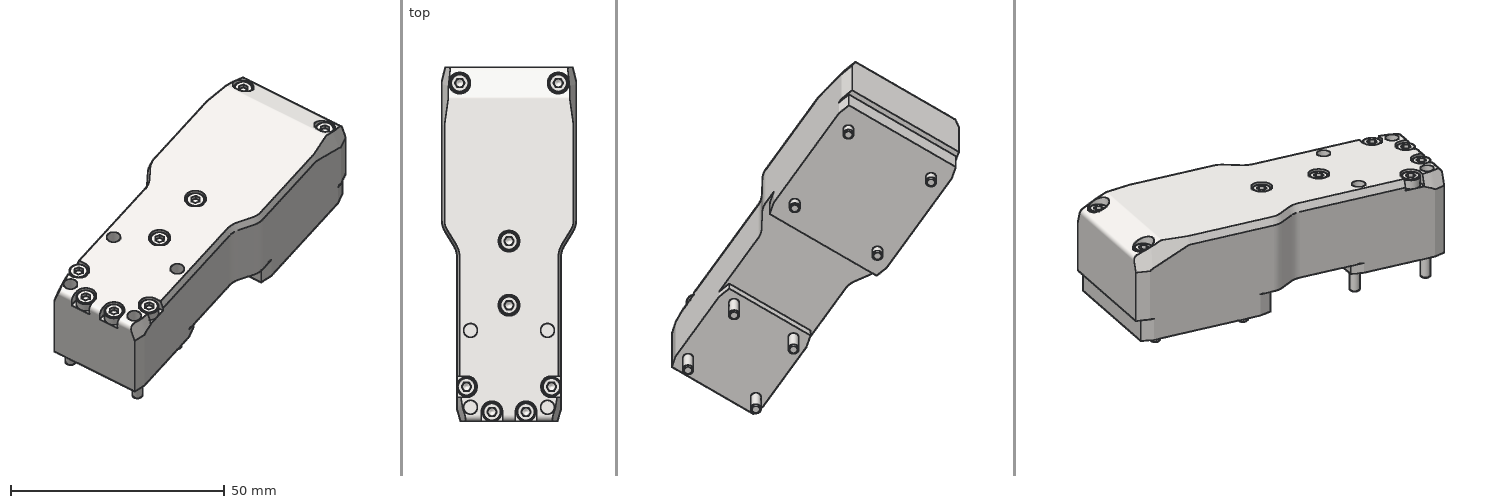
import cadquery as cq
import math


length = 83.0
top_z = 19.25
rear_half_width = 15.8
front_half_width = 12.2
waist_rear_y = 45.7
waist_front_y = 39.8
waist_radius = 5.0
front_edge_radius = 1.5

slope_start_y = 75.95
slope_angle = 23.0
slope_rise = math.tan(math.radians(slope_angle))
rear_edge_radius = 1.4
roof_blend_radius = 1.5

lean = 1 / 3
band_height = 2.0
rear_dip_y = 69.4
front_dip_y = 7.9
front_dip_rise = 0.41

corner_width = 0.8
rear_corner_length = 3.3
front_corner_length = 2.8
rear_corner_taper_height = 6.55
front_corner_taper_height = 4.2
front_blend_radius = 6.6
front_blend_edge_center = (11.5, 3.4, 17.3)

rear_foot_start_y = 47.6
rear_foot_end_y = 81.7
rear_foot_height = 5.6
front_foot_end_y = 24.65
front_foot_height = 2.6
foot_corner_length = 3.1

screw_diameter = 2.5
screw_tip_chamfer = 0.3
long_screw_length = 6.15
short_screw_length = 2.6
long_screws = [(9.5, 4.0), (8.3, 22.0)]
short_screws = [(11.5, 53.1), (11.5, 76.2)]
dowel_hole_diameter = 3.2
dowel_hole_depth = 5.0
dowel_spacing = 18.0
dowel_front_y = 3.3

head_diameter = 4.5
head_height = 2.5
head_edge_chamfer = 0.25
socket_corner_diameter = 2.3
socket_depth = 1.0
socket_cone_depth = 0.6
counterbore_diameter = 5.0
head_recess = 0.3
front_head_x = 4.0
side_head_y = 8.1
middle_head_ys = (27.2, 42.25)
rear_head_x = 11.5
rear_head_y = 79.3
rear_head_drop = 2.2

margin = 4.15


def mirrored(points):
    """Each point together with its reflection in the symmetry plane."""
    return [(side * x, y) for x, y in points for side in (1, -1)]


def housing_sleeve():
    """Waisted plan shape with a leaning top band; both ends run past the body."""
    right_side = [
        (front_half_width, -margin),
        (front_half_width, waist_front_y),
        (rear_half_width, waist_rear_y),
        (rear_half_width, length + margin),
    ]
    left_side = [(-x, y) for x, y in reversed(right_side)]
    straight_height = top_z - band_height
    waist_edges = cq.selectors.BoxSelector(
        (-rear_half_width - margin, waist_front_y - margin, 0),
        (rear_half_width + margin, waist_rear_y + margin, top_z),
    )
    walls = cq.Workplane("XY").polyline(right_side + left_side).close().extrude(straight_height)
    walls = walls.edges("|Z").edges(waist_edges).fillet(waist_radius)
    band = walls.faces(">Z").wires().toPending().workplane()
    band = band.extrude(band_height, taper=math.degrees(math.atan(lean)), combine=False)
    return walls.union(band)


def side_profile():
    """Lengthwise profile with the rear slope and rounded roof edges."""
    rear_edge_z = top_z - slope_rise * (length - slope_start_y)
    outline = [(0, 0), (length, 0), (length, rear_edge_z), (slope_start_y, top_z), (0, top_z)]
    profile = cq.Workplane("YZ").polyline(outline).close().extrude(rear_half_width, both=True)
    profile = profile.edges(cq.selectors.NearestToPointSelector((0, 0, top_z))).fillet(front_edge_radius)
    rear_edge = cq.selectors.NearestToPointSelector((0, length, rear_edge_z))
    profile = profile.edges(rear_edge).fillet(rear_edge_radius)
    roof_edge = cq.selectors.NearestToPointSelector((0, slope_start_y, top_z))
    return profile.edges(roof_edge).fillet(roof_blend_radius)


def taper_wedge(start, end, outward):
    """Tool above the line start-end that makes a wall lean inward from that line."""
    rise = top_z + margin - start[2]
    x, y, z = start
    triangle = [
        (x, y, z),
        (x - outward[0] * rise * lean, y - outward[1] * rise * lean, z + rise),
        (x + outward[0] * margin, y + outward[1] * margin, z + rise),
        (x + outward[0] * margin, y + outward[1] * margin, z),
    ]
    section = cq.Wire.makePolygon([cq.Vector(*point) for point in triangle], close=True)
    path = cq.Vector(*end) - cq.Vector(*start)
    return cq.Workplane(cq.Solid.extrudeLinear(section, [], path))


def side_dip_wedge(half_width, dip_y, end_y, rise):
    """Widens the leaning band toward one end, following a line that falls at the given rise."""
    band_z = top_z - band_height
    end_z = band_z - rise * abs(end_y - dip_y)
    return taper_wedge((half_width, dip_y, band_z), (half_width, end_y, end_z), (1, 0))


def corner_cut(half_width, end_y, inward, corner_length, taper_height):
    """Vertical corner chamfer plus the leaning face above it."""
    wall_point = (half_width, end_y + inward * corner_length)
    end_point = (half_width - corner_width, end_y)
    direction = cq.Vector(wall_point[0] - end_point[0], wall_point[1] - end_point[1], 0).normalized()
    outward = (abs(direction.y), -inward * abs(direction.x))
    line_start = (wall_point[0] + direction.x * margin, wall_point[1] + direction.y * margin)
    line_end = (end_point[0] - direction.x * margin, end_point[1] - direction.y * margin)
    strip = [
        line_start,
        line_end,
        (line_end[0] + outward[0] * margin, line_end[1] + outward[1] * margin),
        (line_start[0] + outward[0] * margin, line_start[1] + outward[1] * margin),
    ]
    taper_z = top_z - taper_height
    chamfer = cq.Workplane("XY").workplane(offset=-top_z).polyline(strip).close().extrude(2 * top_z + margin)
    return chamfer.union(taper_wedge((*line_start, taper_z), (*line_end, taper_z), outward))


def rear_foot():
    """Block under the wide end with four chamfered corners."""
    narrow_half = rear_half_width - corner_width
    right_side = [
        (narrow_half, rear_foot_start_y),
        (rear_half_width, rear_foot_start_y + foot_corner_length),
        (rear_half_width, rear_foot_end_y - foot_corner_length),
        (narrow_half, rear_foot_end_y),
    ]
    left_side = [(-x, y) for x, y in reversed(right_side)]
    return cq.Workplane("XY").polyline(right_side + left_side).close().extrude(-rear_foot_height)


def front_foot():
    """Block under the narrow end, chamfered at its rear corners."""
    right_side = [
        (front_half_width, 0),
        (front_half_width, front_foot_end_y - foot_corner_length),
        (front_half_width - corner_width, front_foot_end_y),
    ]
    left_side = [(-x, y) for x, y in reversed(right_side)]
    return cq.Workplane("XY").polyline(right_side + left_side).close().extrude(-front_foot_height)


def screw_ends(points, start_z, end_length):
    """Screw ends that stick out below a foot."""
    ends = cq.Workplane("XY").workplane(offset=start_z).pushPoints(mirrored(points))
    ends = ends.circle(screw_diameter / 2).extrude(-end_length)
    return ends.faces("<Z").edges().chamfer(screw_tip_chamfer)


def counterbore(x, y, head_top_z, open_direction=None):
    """Round counterbore down to the head seat, opened through the wall if a direction is given."""
    seat_z = head_top_z - head_height
    base = cq.Workplane("XY").workplane(offset=seat_z).center(x, y)
    bore = base.circle(counterbore_diameter / 2).extrude(top_z)
    if open_direction is None:
        return bore
    opening_x, opening_y = open_direction
    slot_size = (
        margin if opening_x else counterbore_diameter,
        margin if opening_y else counterbore_diameter,
    )
    slot = base.center(opening_x * margin / 2, opening_y * margin / 2).rect(*slot_size).extrude(top_z)
    return bore.union(slot)


def screw_head(x, y, head_top_z):
    """Cylinder head with a chamfered rim and a cone-bottomed hexagon socket."""
    head = cq.Workplane("XY").workplane(offset=head_top_z - head_height).center(x, y)
    head = head.circle(head_diameter / 2).extrude(head_height)
    head = head.faces(">Z").edges().chamfer(head_edge_chamfer)
    head = head.faces(">Z").workplane().polygon(6, socket_corner_diameter).cutBlind(-socket_depth)
    socket_flat_radius = socket_corner_diameter / 2 * math.cos(math.radians(30))
    cone = cq.Solid.makeCone(0, socket_flat_radius, socket_cone_depth)
    return head.cut(cone.translate(cq.Vector(x, y, head_top_z - socket_depth - socket_cone_depth)))


body = housing_sleeve().intersect(side_profile())
end_cuts = [
    side_dip_wedge(rear_half_width, rear_dip_y, length + margin, slope_rise),
    side_dip_wedge(front_half_width, front_dip_y, -margin, front_dip_rise),
    corner_cut(rear_half_width, length, -1, rear_corner_length, rear_corner_taper_height),
]
for end_cut in end_cuts:
    body = body.cut(end_cut).cut(end_cut.mirror("YZ"))
body = body.union(rear_foot()).union(front_foot())
front_corner = corner_cut(front_half_width, 0, 1, front_corner_length, front_corner_taper_height)
body = body.cut(front_corner).cut(front_corner.mirror("YZ"))

blend_x, blend_y, blend_z = front_blend_edge_center
for side in (1, -1):
    blend_edge = cq.selectors.NearestToPointSelector((side * blend_x, blend_y, blend_z))
    body = body.edges(blend_edge).fillet(front_blend_radius)

body = body.union(screw_ends(long_screws, -front_foot_height, long_screw_length))
body = body.union(screw_ends(short_screws, -rear_foot_height, short_screw_length))
dowel_points = [(dowel_spacing / 2, dowel_front_y), (dowel_spacing / 2, dowel_front_y + dowel_spacing)]
dowel_holes = cq.Workplane("XY").workplane(offset=top_z).pushPoints(mirrored(dowel_points))
body = body.cut(dowel_holes.circle(dowel_hole_diameter / 2).extrude(-dowel_hole_depth))

roof_head_z = top_z - head_recess
rear_head_z = top_z - rear_head_drop
heads = [(0, y, roof_head_z, None) for y in middle_head_ys]
for side in (1, -1):
    side_head_x = side * (front_half_width - head_diameter / 2)
    heads.append((side * front_head_x, head_diameter / 2, roof_head_z, (0, -1)))
    heads.append((side_head_x, side_head_y, roof_head_z, (side, 0)))
    heads.append((side * rear_head_x, rear_head_y, rear_head_z, None))
for x, y, z, open_direction in heads:
    body = body.cut(counterbore(x, y, z, open_direction))
for x, y, z, open_direction in heads:
    body = body.union(screw_head(x, y, z))

result = body